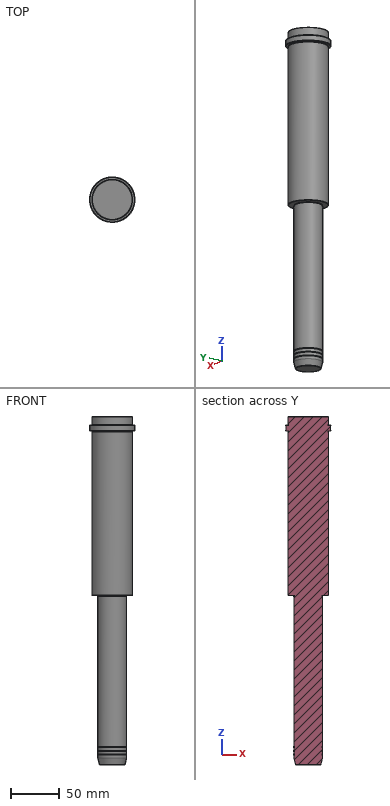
import cadquery as cq

total_length = 360.0
edge_chamfer = 0.5

bush_diameter = 42.0
bush_length = 185.0
collar_diameter = 47.0
collar_height = 6.0
head_height = 8.5
relief_width = 0.5

pillar_diameter = 30.0
tip_diameter = 26.5
taper_height = 7.0
lead_in_height = 10.5
band_height = 4.0
band_count = 2

bush_bottom = total_length - bush_length
head_bottom = total_length - head_height
collar_bottom = head_bottom - relief_width - collar_height
body_top = collar_bottom - relief_width
shank_top = bush_bottom - relief_width
shank_bottom = lead_in_height + band_count * band_height


def cylinder(diameter, bottom, top):
    """Plain cylinder on the Z axis between two heights."""
    return cq.Workplane("XY").workplane(offset=bottom).circle(diameter / 2).extrude(top - bottom)


def section(diameter, bottom, top):
    """Cylinder with both ends chamfered; abutting sections leave V grooves."""
    return cylinder(diameter, bottom, top).faces("<Z or >Z").chamfer(edge_chamfer)


def neck(diameter, bottom):
    """Relief neck, as wide as the chamfered end of a section of the given diameter."""
    return cylinder(diameter - 2 * edge_chamfer, bottom, bottom + relief_width)


def make_lead_in():
    """Lowest pillar section, straight above and tapering down to the tip."""
    taper = (
        cq.Workplane("XY")
        .circle(tip_diameter / 2)
        .workplane(offset=taper_height)
        .circle(pillar_diameter / 2)
        .loft(ruled=True)
    )
    straight_part = cylinder(pillar_diameter, taper_height, lead_in_height)
    return taper.union(straight_part).faces("<Z or >Z").chamfer(edge_chamfer)


def make_pillar():
    """Lead-in, bands and shank stacked from Z = 0, with a neck up to the bush."""
    pillar = make_lead_in()
    for index in range(band_count):
        band_bottom = lead_in_height + index * band_height
        pillar = pillar.union(section(pillar_diameter, band_bottom, band_bottom + band_height))
    pillar = pillar.union(section(pillar_diameter, shank_bottom, shank_top))
    return pillar.union(neck(pillar_diameter, shank_top))


def make_bush():
    """Body, collar and head, with a neck on each side of the collar."""
    bush = section(bush_diameter, bush_bottom, body_top)
    bush = bush.union(neck(bush_diameter, body_top))
    bush = bush.union(section(collar_diameter, collar_bottom, collar_bottom + collar_height))
    bush = bush.union(neck(bush_diameter, collar_bottom + collar_height))
    return bush.union(section(bush_diameter, head_bottom, total_length))


result = make_pillar().union(make_bush())